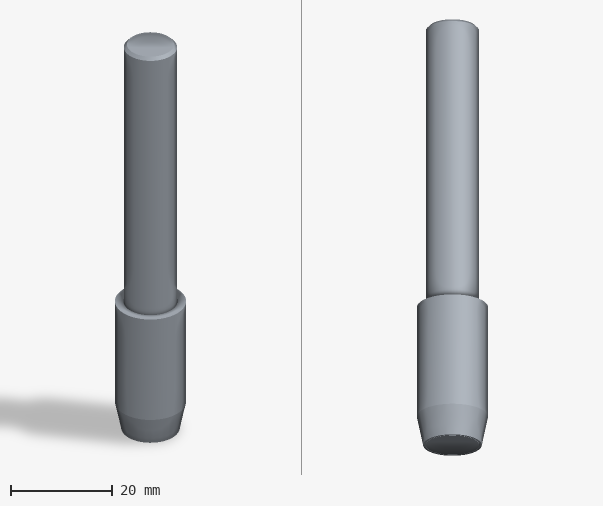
import cadquery as cq

total_length = 88.0

sleeve_diameter = 14.0
sleeve_length = 29.0
taper_length = 6.0
taper_end_diameter = 11.5

pin_diameter = 10.5
pin_chamfer = 0.6

radial_clearance = 0.1


def make_pin():
    """Straight rod over the full length, chamfered at its top end."""
    rod = cq.Workplane("XY").circle(pin_diameter / 2).extrude(total_length)
    return rod.faces(">Z").chamfer(pin_chamfer)


def make_sleeve():
    """Revolved collar, narrowing towards its lower end, bored through with clearance for the pin."""
    bore_radius = pin_diameter / 2 + radial_clearance
    outer_radius = sleeve_diameter / 2
    return (
        cq.Workplane("XZ")
        .moveTo(bore_radius, 0)
        .lineTo(taper_end_diameter / 2, 0)
        .lineTo(outer_radius, taper_length)
        .lineTo(outer_radius, sleeve_length)
        .lineTo(bore_radius, sleeve_length)
        .close()
        .revolve(360, (0, 0, 0), (0, 1, 0))
    )


pin = make_pin()
sleeve = make_sleeve()
result = cq.Compound.makeCompound([pin.val(), sleeve.val()])